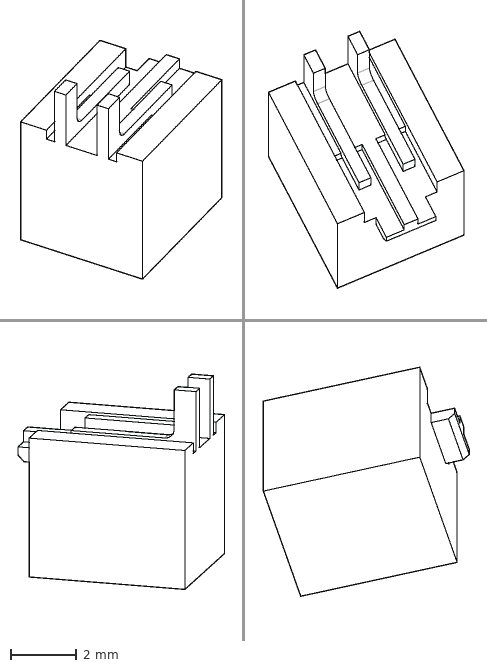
import cadquery as cq

body_width = 4.3
body_length = 5.0
body_height = 4.44

channel_width = 2.47
channel_depth = 0.335
recess_start = 2.7
recess_depth = 0.355
channel_floor = body_height - channel_depth
recess_floor = channel_floor - recess_depth

overall_length = 5.75
tongue_width = 1.68
tongue_height = 0.815
tongue_chamfer = 0.2
rib_width = 0.47
tongue_bottom = channel_floor - tongue_height

overall_height = 6.0
pin_width = 0.4
pin_pitch = 1.5
pin_length = 4.0
post_thickness = 0.7
bend_radius = 0.3
arm_thickness = 0.5
arm_top = body_height
arm_bottom = arm_top - arm_thickness


def centred_block(width, y_start, y_end, z_bottom, z_top):
    """Box centred on X = 0 between the given Y and Z limits."""
    return (
        cq.Workplane("XY", origin=(0, y_start, z_bottom))
        .box(width, y_end - y_start, z_top - z_bottom, centered=(True, False, False))
    )


def make_housing():
    block = centred_block(body_width, 0, body_length, 0, body_height)
    tongue = (
        centred_block(tongue_width, recess_start, overall_length, tongue_bottom, channel_floor)
        .edges(">Y and <Z")
        .chamfer(tongue_chamfer)
    )
    channel = centred_block(channel_width, 0, body_length, channel_floor, body_height)
    recess = centred_block(channel_width, recess_start, overall_length, recess_floor, channel_floor)
    rib = centred_block(rib_width, recess_start, overall_length, recess_floor, channel_floor)
    return block.union(tongue).cut(channel).cut(recess).union(rib)


def make_pin(x_centre):
    """Upright post and rearward arm, which overhangs the recess floor."""
    return (
        cq.Workplane("YZ", origin=(x_centre, 0, 0))
        .moveTo(0, arm_bottom)
        .lineTo(pin_length, arm_bottom)
        .lineTo(pin_length, arm_top)
        .lineTo(post_thickness + bend_radius, arm_top)
        .radiusArc((post_thickness, arm_top + bend_radius), bend_radius)
        .lineTo(post_thickness, overall_height)
        .lineTo(0, overall_height)
        .close()
        .extrude(pin_width / 2, both=True)
    )


result = make_housing()
for side in (-1, 1):
    result = result.union(make_pin(side * pin_pitch / 2))